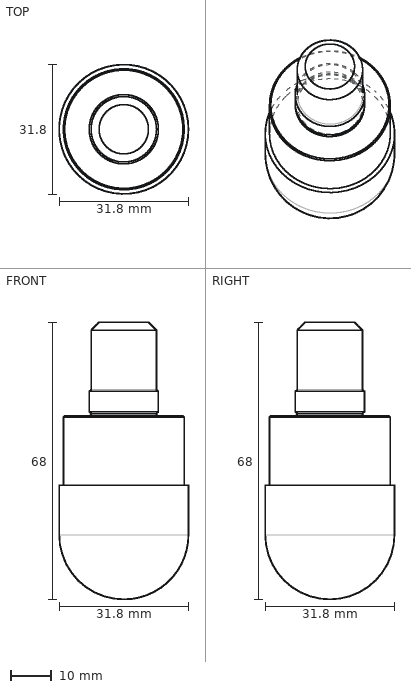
import cadquery as cq

total_height = 68.0
dome_radius = 15.88
shoulder_height = 28.0
barrel_radius = 14.8
barrel_top = 45.0
barrel_chamfer = 0.35

shank_radius = 8.0
shank_chamfer = 2.0
collar_radius = 8.5
collar_bottom = 46.05
collar_top = 51.1
collar_step = collar_radius - shank_radius


def revolve_profile(profile):
    """Close a radius-height outline and turn it about the Z axis."""
    return profile.close().revolve(360, (0, 0), (0, 1))


def make_housing():
    """Hemispherical housing with a stepped, chamfered barrel."""
    outline = (
        cq.Workplane("XZ")
        .moveTo(0, 0)
        .radiusArc((dome_radius, dome_radius), -dome_radius)
        .lineTo(dome_radius, shoulder_height)
        .lineTo(barrel_radius, shoulder_height)
        .lineTo(barrel_radius, barrel_top - barrel_chamfer)
        .lineTo(barrel_radius - barrel_chamfer, barrel_top)
        .lineTo(0, barrel_top)
    )
    return revolve_profile(outline)


def make_stud():
    """Stud with a filleted neck, a collar chamfered below, and a chamfered tip."""
    outline = (
        cq.Workplane("XZ")
        .moveTo(0, barrel_top)
        .lineTo(collar_radius, barrel_top)
        .radiusArc((shank_radius, barrel_top + collar_step), collar_step)
        .lineTo(shank_radius, collar_bottom - collar_step)
        .lineTo(collar_radius, collar_bottom)
        .lineTo(collar_radius, collar_top)
        .radiusArc((shank_radius, collar_top + collar_step), collar_step)
        .lineTo(shank_radius, total_height - shank_chamfer)
        .lineTo(shank_radius - shank_chamfer, total_height)
        .lineTo(0, total_height)
    )
    return revolve_profile(outline)


housing = make_housing()
stud = make_stud()

result = cq.Compound.makeCompound([housing.val(), stud.val()])